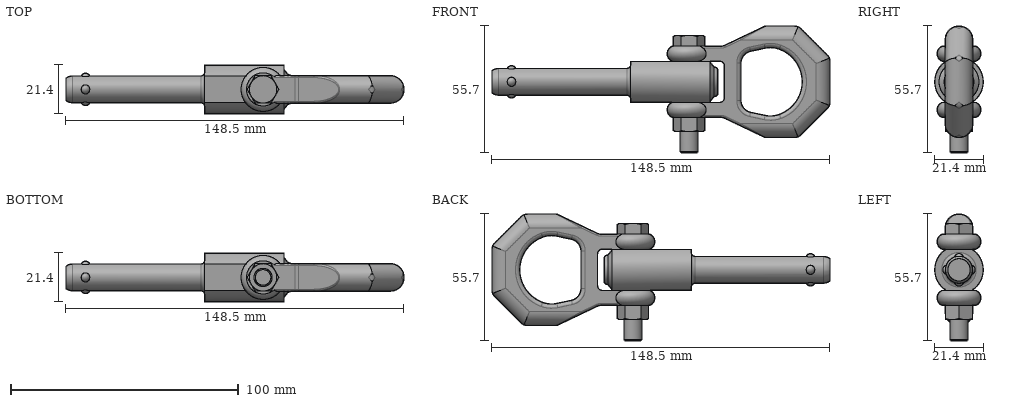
import cadquery as cq
import math


pin_radius = 6.0
tip_length = 3.0
tip_end_radius = 4.9
ball_radius = 2.1
ball_x = 8.6
ball_protrusion = 1.2
sleeve_start_x = 60.9
sleeve_end_x = 95.8
sleeve_radius = 10.7
sleeve_height = 18.0
sleeve_half_height = sleeve_height / 2
button_radius = 6.5
button_end_x = 99.2
button_end_radius = 5.5
button_round_length = 1.6
front_fillet = 1.6
rear_collar_radius = 8.8

bolt_x = 86.6
bolt_radius = 4.0
bolt_end_chamfer = 0.6
hex_sides = 6
hex_across_flats = 12.0
head_height = 4.8
nut_height = 6.2
hex_chamfer_angle = math.radians(30)
eye_outer_radius = 9.7
eye_flat_radius = 7.3
eye_height = 6.7
eye_top_z = sleeve_half_height + eye_height

total_length = 148.5
total_height = 55.7
half_thickness = 6.1
core_half_height = 18.4
core_end_x = total_length - half_thickness
core_corner_z = 8.0
ring_corner_turn = math.radians(45)
core_corner_x = core_end_x - (core_half_height - core_corner_z) / math.tan(ring_corner_turn)
shackle_top_z = core_half_height + half_thickness
bolt_end_z = shackle_top_z - total_height
slope_start_x = 101.4
slope_end_x = 120.0
bend_radius = 3.9
arm_edge_round = 0.9
fork_end_x = 102.0
fork_corner_radius = 2.0

window_left_x = 109.5
window_left_z = 12.5
window_slope = math.radians(12)
crest_start_x = 120.0
crest_radius = 11.3
crest_end_slope = math.radians(20)
window_corner_radius = 5.2
window_edge_round = 2.0

pick_margin = 1.5


def cylinder_z(radius, bottom_z, top_z):
    """Cylinder on the bolt axis."""
    return cq.Workplane("XY", origin=(bolt_x, 0, bottom_z)).circle(radius).extrude(top_z - bottom_z)


def make_spindle():
    """Pin from the rounded tip up to the sleeve, with a fillet where it meets the sleeve."""
    return (
        cq.Workplane("XY")
        .moveTo(0, 0)
        .lineTo(sleeve_start_x, 0)
        .lineTo(sleeve_start_x, pin_radius + front_fillet)
        .radiusArc((sleeve_start_x - front_fillet, pin_radius), front_fillet)
        .lineTo(tip_length, pin_radius)
        .tangentArcPoint((0, tip_end_radius), relative=False)
        .close()
        .revolve(360, (0, 0, 0), (1, 0, 0))
    )


def make_button():
    """Conical collar behind the sleeve with a round-edged button on its end."""
    button_arc_drop = button_radius - button_end_radius
    button_arc_radius = (button_round_length**2 + button_arc_drop**2) / (2 * button_arc_drop)
    return (
        cq.Workplane("XY")
        .moveTo(sleeve_end_x, 0)
        .lineTo(sleeve_end_x, rear_collar_radius)
        .lineTo(button_end_x - button_round_length, button_radius)
        .radiusArc((button_end_x, button_end_radius), button_arc_radius)
        .lineTo(button_end_x, 0)
        .close()
        .revolve(360, (0, 0, 0), (1, 0, 0))
    )


def make_sleeve():
    """Round sleeve with flats above and below for the shackle eyes."""
    length = sleeve_end_x - sleeve_start_x
    round_bar = cq.Workplane("YZ", origin=(sleeve_start_x, 0, 0)).circle(sleeve_radius).extrude(length)
    flats = (
        cq.Workplane("YZ", origin=(sleeve_start_x, 0, 0))
        .rect(2 * sleeve_radius, sleeve_height)
        .extrude(length)
    )
    return round_bar.intersect(flats)


def make_pin():
    """Pin, sleeve, button and locking balls in one body, with a cross hole for the bolt."""
    pin = make_sleeve().union(make_spindle()).union(make_button())
    ball_offset = pin_radius + ball_protrusion - ball_radius
    for angle in (0, 90, 180, 270):
        ball = (
            cq.Workplane("XY")
            .sphere(ball_radius)
            .translate((ball_x, 0, ball_offset))
            .rotate((0, 0, 0), (1, 0, 0), angle)
        )
        pin = pin.union(ball)
    return pin.cut(cylinder_z(bolt_radius, -sleeve_half_height, sleeve_half_height))


def make_hexagon(bottom_z, height, chamfered_end):
    """Hexagon with two corners along X and a conical chamfer on its top (">Z") or bottom ("<Z")."""
    corner_radius = hex_across_flats / 2 / math.cos(math.pi / hex_sides)
    chamfer_width = corner_radius - hex_across_flats / 2
    chamfer_height = chamfer_width * math.tan(hex_chamfer_angle)
    prism = (
        cq.Workplane("XY", origin=(bolt_x, 0, bottom_z))
        .polygon(hex_sides, 2 * corner_radius)
        .extrude(height)
    )
    blank = (
        cylinder_z(corner_radius, bottom_z, bottom_z + height)
        .faces(chamfered_end)
        .chamfer(chamfer_height, chamfer_width)
    )
    return prism.intersect(blank)


def make_eye(bottom_z):
    """Disc with a bulging rim that carries the bolt at the end of one arm."""
    return (
        cq.Workplane("XZ")
        .moveTo(0, 0)
        .lineTo(eye_flat_radius, 0)
        .threePointArc((eye_outer_radius, eye_height / 2), (eye_flat_radius, eye_height))
        .lineTo(0, eye_height)
        .close()
        .revolve(360, (0, 0, 0), (0, 1, 0))
        .translate((bolt_x, 0, bottom_z))
    )


def make_half_round_bar():
    """Flat-sided core with a half-round rim along its top, its slanted corners, its end and its bottom."""
    core_points = [
        (bolt_x, core_half_height),
        (core_corner_x, core_half_height),
        (core_end_x, core_corner_z),
        (core_end_x, -core_corner_z),
        (core_corner_x, -core_half_height),
        (bolt_x, -core_half_height),
    ]
    core = cq.Workplane("XZ").polyline(core_points).close().extrude(half_thickness, both=True)
    rim = (
        cq.Workplane("YZ", origin=(bolt_x, 0, core_half_height))
        .moveTo(-half_thickness, 0)
        .threePointArc((0, half_thickness), (half_thickness, 0))
        .close()
        .sweep(cq.Workplane("XZ").polyline(core_points), transition="right")
    )
    return core.union(rim)


def make_silhouette():
    """Side outline of both arms, the slopes that widen them and the ring with its softened corners."""
    miter_offset = half_thickness * math.tan(ring_corner_turn / 2)
    ring_corner_x = core_corner_x + miter_offset
    ring_corner_z = core_corner_z + miter_offset
    upper_points = [
        (bolt_x, eye_top_z),
        (slope_start_x, eye_top_z),
        (slope_end_x, shackle_top_z),
        (ring_corner_x, shackle_top_z),
        (total_length, ring_corner_z),
    ]
    lower_points = [(x, -z) for x, z in reversed(upper_points)]
    outline = (
        cq.Workplane("XZ")
        .polyline(upper_points + lower_points)
        .close()
        .extrude(2 * half_thickness, both=True)
    )
    for x in (slope_start_x, ring_corner_x, total_length):
        bends = cq.selectors.BoxSelector(
            (x - pick_margin, -pick_margin, -shackle_top_z - pick_margin),
            (x + pick_margin, pick_margin, shackle_top_z + pick_margin),
        )
        outline = outline.edges("|Y").edges(bends).fillet(bend_radius)
    return outline


def round_arm_edges(body):
    """Round the long edges of the outer faces of both arms and of the slopes behind them."""
    for side in (1, -1):
        arm_edges = cq.selectors.BoxSelector(
            (bolt_x, -2 * half_thickness, side * (eye_top_z - pick_margin)),
            (slope_end_x - pick_margin, 2 * half_thickness, side * shackle_top_z),
        )
        body = body.edges("not |Y").edges(arm_edges).fillet(arm_edge_round)
    return body


def make_window():
    """Window prism: upright left side, sloping top and bottom with a rounded crest, round right side."""
    crest_start_z = window_left_z + (crest_start_x - window_left_x) * math.tan(window_slope)
    crest_center_z = crest_start_z - crest_radius * math.cos(window_slope)
    crest_end_x = crest_start_x + crest_radius * (math.sin(window_slope) + math.sin(crest_end_slope))
    crest_end_z = crest_center_z + crest_radius * math.cos(crest_end_slope)
    end_arc_radius = crest_end_z / math.cos(crest_end_slope)
    end_arc_center_x = crest_end_x - crest_end_z * math.tan(crest_end_slope)
    upper_half = (
        cq.Workplane("XZ")
        .moveTo(window_left_x, 0)
        .lineTo(window_left_x, window_left_z)
        .lineTo(crest_start_x, crest_start_z)
        .tangentArcPoint((crest_end_x, crest_end_z), relative=False)
        .radiusArc((end_arc_center_x + end_arc_radius, 0), end_arc_radius)
        .close()
        .extrude(2 * half_thickness, both=True)
    )
    window = upper_half.union(upper_half.mirror("XY")).clean()
    return window.edges("|Y and <X").fillet(window_corner_radius)


def make_fork_gap():
    """Gap between the arms, with rounded inner corners."""
    gap = cq.Workplane("XY").box(fork_end_x - sleeve_start_x, 4 * half_thickness, sleeve_height)
    return gap.edges("|Y and >X").fillet(fork_corner_radius).translate(
        ((sleeve_start_x + fork_end_x) / 2, 0, 0)
    )


def make_shackle():
    """Ring with two arms, their eyes and the bolt with its head and nut in one body."""
    shackle = round_arm_edges(make_half_round_bar().intersect(make_silhouette()))
    shackle = shackle.cut(make_window())
    window_edges = cq.selectors.BoxSelector(
        (window_left_x - pick_margin, -2 * half_thickness, pick_margin - core_half_height),
        (core_corner_x + pick_margin, 2 * half_thickness, core_half_height - pick_margin),
    )
    shackle = shackle.faces("|Y").edges(window_edges).fillet(window_edge_round)
    shackle = shackle.cut(make_fork_gap())
    for eye_bottom_z in (sleeve_half_height, -eye_top_z):
        shackle = shackle.union(make_eye(eye_bottom_z))
    shank = cylinder_z(bolt_radius, bolt_end_z, eye_top_z).faces("<Z").chamfer(bolt_end_chamfer)
    head = make_hexagon(eye_top_z, head_height, ">Z")
    nut = make_hexagon(-eye_top_z - nut_height, nut_height, "<Z")
    return shackle.union(head).union(nut).union(shank)


pin = make_pin()
shackle = make_shackle()

result = cq.Compound.makeCompound([pin.solids().val(), shackle.solids().val()])